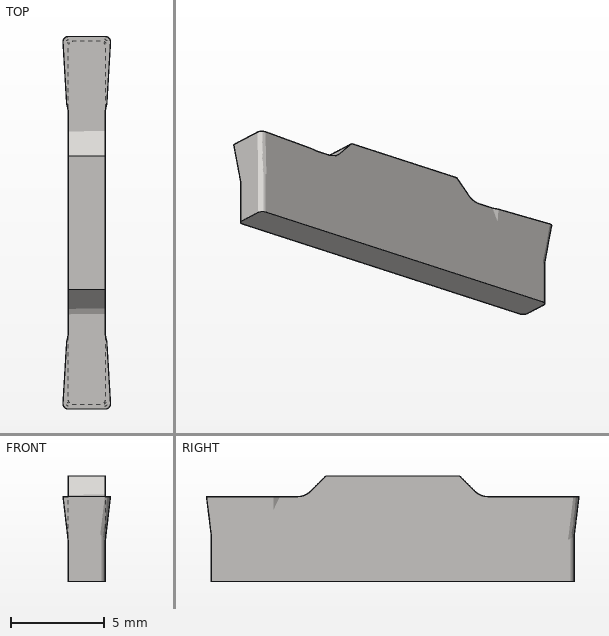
import cadquery as cq
import math

overall_length = 19.91
cutting_width = 2.55
overall_height = 5.65

shank_width = 2.0
ledge_height = 4.55
crown_length = 7.14
ramp_angle = math.radians(45)
ramp_radius = 1.0
corner_radius = 0.3

end_relief_angle = math.radians(7)
side_relief_angle = math.radians(6.3)
back_taper_angle = math.radians(3.4)
end_overhang = 0.25
flank_length = 3.6
run_out_length = 0.35
head_depth = 3.0

shank_length = overall_length - 2 * end_overhang
tip_y = -overall_length / 2


def make_shank():
    """Plate with a raised middle, ramped down to a flat ledge at each end."""
    half_length = shank_length / 2
    half_crown = crown_length / 2
    blend_run = ramp_radius * math.sin(ramp_angle)
    blend_rise = ramp_radius * (1 - math.cos(ramp_angle))
    ramp_drop = overall_height - ledge_height - blend_rise
    ramp_foot_y = half_crown + ramp_drop / math.tan(ramp_angle)
    ramp_foot_z = ledge_height + blend_rise
    ledge_start = ramp_foot_y + blend_run
    blend_mid_y = ledge_start - ramp_radius * math.sin(ramp_angle / 2)
    blend_mid_z = ledge_height + ramp_radius * (1 - math.cos(ramp_angle / 2))

    profile = (
        cq.Workplane("YZ")
        .moveTo(-half_length, 0)
        .lineTo(half_length, 0)
        .lineTo(half_length, ledge_height)
        .lineTo(ledge_start, ledge_height)
        .threePointArc((blend_mid_y, blend_mid_z), (ramp_foot_y, ramp_foot_z))
        .lineTo(half_crown, overall_height)
        .lineTo(-half_crown, overall_height)
        .lineTo(-ramp_foot_y, ramp_foot_z)
        .threePointArc((-blend_mid_y, blend_mid_z), (-ledge_start, ledge_height))
        .lineTo(-half_length, ledge_height)
        .close()
    )
    shank = profile.extrude(shank_width / 2, both=True)
    end_corners = shank.edges("|Z").edges("<Y or >Y")
    return end_corners.fillet(corner_radius)


def head_outline(depth):
    """Corner points of the head's horizontal section at a depth below the ledge."""
    corner_turn = math.pi / 2 + back_taper_angle
    tangent_setback = corner_radius * math.tan(corner_turn / 2) * math.cos(back_taper_angle)

    side_shift = depth * math.tan(side_relief_angle)
    front_shift = depth * math.tan(end_relief_angle)

    def flank_half_width(setback):
        taper = (setback - tangent_setback) * math.tan(back_taper_angle)
        return cutting_width / 2 - taper - side_shift

    right_side = [
        (flank_half_width(front_shift), tip_y + front_shift),
        (flank_half_width(flank_length), tip_y + flank_length),
        (shank_width / 2 - side_shift, tip_y + flank_length + run_out_length),
    ]
    left_side = [(-x, y) for x, y in reversed(right_side)]
    return right_side + left_side


def make_head():
    """Cutting head at the -Y end, narrowing downwards and towards the middle."""
    head = (
        cq.Workplane("XY", origin=(0, 0, ledge_height))
        .polyline(head_outline(0))
        .close()
        .workplane(offset=-head_depth)
        .polyline(head_outline(head_depth))
        .close()
        .loft(ruled=True)
    )
    front_corners = head.faces("<Y").edges("not(#Z)")
    return front_corners.fillet(corner_radius)


front_head = make_head()
back_head = front_head.mirror("XZ")
result = make_shank().union(front_head).union(back_head)